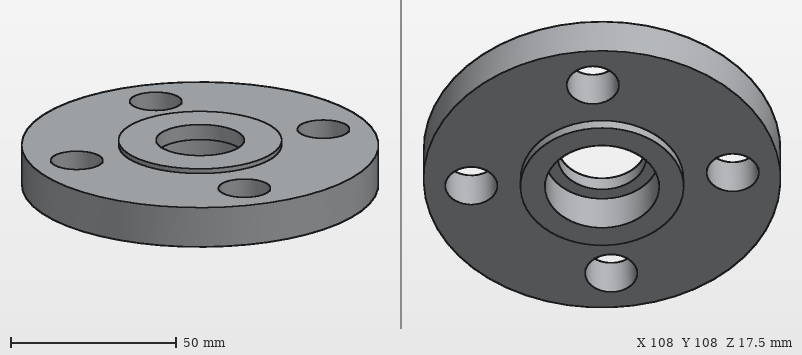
import cadquery as cq

plate_diameter = 108.0
plate_thickness = 12.7

total_height = 17.5
ring_diameter = 49.3
upper_ring_height = 1.5
lower_ring_height = total_height - plate_thickness - upper_ring_height

bore_diameter = 26.7
socket_diameter = 34.5
bore_length = 4.9
socket_depth = total_height - bore_length

bolt_hole_diameter = 15.8
bolt_spacing = 56.0


def cylinder(diameter, height, bottom=0):
    return cq.Workplane("XY").workplane(offset=bottom).circle(diameter / 2).extrude(height)


body = cylinder(ring_diameter, total_height)
body = body.union(cylinder(plate_diameter, plate_thickness, lower_ring_height))

body = body.cut(cylinder(bore_diameter, total_height))
body = body.cut(cylinder(socket_diameter, socket_depth))

bolt_holes = (
    cq.Workplane("XY")
    .rect(bolt_spacing, bolt_spacing, forConstruction=True)
    .vertices()
    .circle(bolt_hole_diameter / 2)
    .extrude(total_height)
)
result = body.cut(bolt_holes)